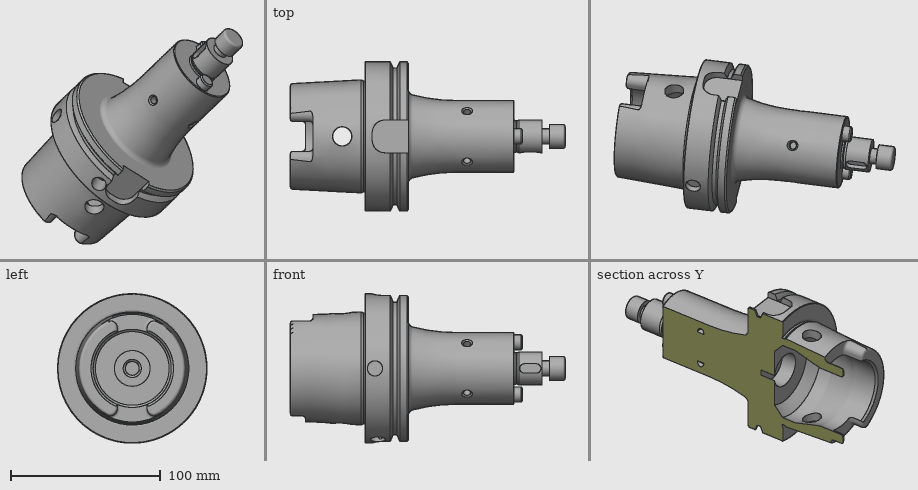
import cadquery as cq
import math


overshoot = 1.8

flange_start = 50.0
flange_end = 79.0
neck_blend_start = 82.0
neck_straight_start = 110.7
neck_end = 149.7
pilot_end = 168.5
screw_head_start = 173.2
overall_length = 183.9

shank_end_radius = 35.3
shank_root_radius = 37.9
undercut_start = 47.5
undercut_floor_start = 49.0
undercut_depth = 0.7
undercut_face_radius = 39.0
undercut_face_depth = 0.5

bore_mouth_chamfer = 1.5
bore_radius = 26.1
bore_cone_start = 19.0
bore_cone_end = 39.7
bore_chamber_radius = 31.5
bore_floor = 57.0
bore_floor_radius = 24.6
tube_seat_radius = 12.0
tube_seat_floor = 68.0
coolant_radius = 4.6
coolant_chamfer = 1.5

notch_half_width = 10.0
notch_lip_radius = 5.0
notch_lip_start = 26.8
notch_depth_top = 15.0
notch_depth_bottom = 10.1
notch_floor_fillet = 2.0
notch_edge_fillet = 1.8

cross_hole_x = 34.8
cross_hole_diameter = 12.7

flange_radius = 50.0
flange_edge_chamfer = 1.1
flange_face_chamfer = 0.4
groove_x = 70.0
groove_mouth_width = 6.5
groove_bevel_width = 4.0
groove_floor_width = 2.5
groove_bevel_radius = 47.6
groove_floor_radius = 45.8
keyway_width = 21.9
keyway_start = 54.8
keyway_corner_radius = 8.5
keyway_floor_radius = 44.0
chip_hole_x = 56.6
chip_hole_diameter = 10.1
chip_hole_depth = 4.6
chip_hole_angle = 180.0
slanted_hole_x = 58.7
slanted_hole_diameter = 10.0
slanted_hole_angle = 252.0
slanted_hole_depth = 14.7

neck_radius = 24.0
neck_blend_radius = 27.8
neck_root_radius = 30.7
neck_edge_chamfer = 0.5
neck_hole_x = 118.2
neck_hole_diameter = 5.0
neck_hole_countersink = 7.2
neck_hole_depth = 7.4
neck_hole_angles = (45, 135, 225, 315)

pilot_radius = 11.0
relief_depth = 0.5
relief_start = 150.8
relief_floor_end = 151.5
relief_end = 153.0
pocket_x = 160.5
pocket_length = 14.2
pocket_width = 6.3
pocket_depth = 3.7

pin_diameter = 10.3
pin_offsets = (17.5, -17.5)
pin_start = 134.2
pin_end = 155.2
pin_chamfer = 1.0

screw_shank_radius = 5.1
screw_start = 143.5
screw_head_radius = 8.0
screw_head_fillet = 1.7


def cylinder_x(radius, start, end, z=0.0):
    """Cylinder along X between two stations, at a height above the axis."""
    return cq.Workplane("YZ", origin=(start, 0, z)).circle(radius).extrude(end - start)


def revolve_x(profile):
    """Turn a closed outline in the XY plane about the X axis."""
    return profile.close().revolve(360, (0, 0, 0), (1, 0, 0))


def radial_direction(angle):
    """Unit vector square to X; the angle turns from +Y towards +Z."""
    return cq.Vector(0, math.cos(math.radians(angle)), math.sin(math.radians(angle)))


def radial_hole(x, diameter, surface_radius, depth, angle):
    """Cutter for a blind hole drilled towards the axis from a surface radius."""
    direction = radial_direction(angle)
    base = cq.Vector(x, 0, 0) + direction * (surface_radius - depth)
    return cq.Workplane(obj=cq.Solid.makeCylinder(diameter / 2, depth + overshoot, base, direction))


def half_turn(body):
    """The same body on the opposite side of the X axis."""
    return body.rotate((0, 0, 0), (1, 0, 0), 180)


def holder_blank():
    """Outer turned shape: shank, flange, blended neck and pilot."""
    undercut_radius = shank_root_radius - undercut_depth
    relief_radius = pilot_radius - relief_depth
    return revolve_x(
        cq.Workplane("XY")
        .moveTo(0, 0)
        .lineTo(pilot_end, 0)
        .lineTo(pilot_end, pilot_radius)
        .lineTo(relief_end, pilot_radius)
        .lineTo(relief_floor_end, relief_radius)
        .lineTo(relief_start, relief_radius)
        .lineTo(neck_end, pilot_radius)
        .lineTo(neck_end, neck_radius - neck_edge_chamfer)
        .lineTo(neck_end - neck_edge_chamfer, neck_radius)
        .lineTo(neck_straight_start, neck_radius)
        .tangentArcPoint((neck_blend_start, neck_blend_radius), relative=False)
        .tangentArcPoint((flange_end, neck_root_radius), relative=False)
        .lineTo(flange_end, flange_radius - flange_edge_chamfer)
        .lineTo(flange_end - flange_edge_chamfer, flange_radius)
        .lineTo(groove_x + groove_mouth_width / 2, flange_radius)
        .lineTo(groove_x + groove_bevel_width / 2, groove_bevel_radius)
        .lineTo(groove_x + groove_floor_width / 2, groove_floor_radius)
        .lineTo(groove_x - groove_floor_width / 2, groove_floor_radius)
        .lineTo(groove_x - groove_bevel_width / 2, groove_bevel_radius)
        .lineTo(groove_x - groove_mouth_width / 2, flange_radius)
        .lineTo(flange_start + flange_face_chamfer, flange_radius)
        .lineTo(flange_start, flange_radius - flange_face_chamfer)
        .lineTo(flange_start, undercut_face_radius)
        .lineTo(flange_start + undercut_face_depth, undercut_radius)
        .lineTo(undercut_floor_start, undercut_radius)
        .lineTo(undercut_start, shank_root_radius)
        .lineTo(0, shank_end_radius)
    )


def shank_bore():
    """Bore that widens into a chamber, with a coolant-tube seat and a passage to the screw."""
    return revolve_x(
        cq.Workplane("XY")
        .moveTo(0, 0)
        .lineTo(0, bore_radius + bore_mouth_chamfer)
        .lineTo(bore_mouth_chamfer, bore_radius)
        .lineTo(bore_cone_start, bore_radius)
        .lineTo(bore_cone_end, bore_chamber_radius)
        .lineTo(bore_floor - (bore_chamber_radius - bore_floor_radius), bore_chamber_radius)
        .lineTo(bore_floor, bore_floor_radius)
        .lineTo(bore_floor, tube_seat_radius)
        .lineTo(tube_seat_floor, tube_seat_radius)
        .lineTo(tube_seat_floor, coolant_radius + coolant_chamfer)
        .lineTo(tube_seat_floor + coolant_chamfer, coolant_radius)
        .lineTo(screw_start, coolant_radius)
        .lineTo(screw_start, 0)
    )


def drive_notch(depth):
    """Cutter for the top notch: parallel walls that flare out over rounded lips."""
    lip_y = notch_half_width + notch_lip_radius
    lip_z = notch_lip_start + notch_lip_radius
    arc_y = lip_y - notch_lip_radius * math.cos(math.radians(45))
    arc_z = notch_lip_start + notch_lip_radius * math.sin(math.radians(45))
    outer = flange_radius
    cutter = (
        cq.Workplane("YZ")
        .moveTo(-notch_half_width, 0)
        .lineTo(notch_half_width, 0)
        .lineTo(notch_half_width, notch_lip_start)
        .threePointArc((arc_y, arc_z), (lip_y, lip_z))
        .lineTo(outer, lip_z)
        .lineTo(outer, outer)
        .lineTo(-outer, outer)
        .lineTo(-outer, lip_z)
        .lineTo(-lip_y, lip_z)
        .threePointArc((-arc_y, arc_z), (-notch_half_width, notch_lip_start))
        .close()
        .extrude(depth)
    )
    floor_edges = cutter.faces(">X").edges("|Z exc (<Y or >Y)").add(cutter.faces(">X").edges("%CIRCLE"))
    return floor_edges.fillet(notch_floor_fillet)


def cross_hole():
    """Cutter for the vertical hole through both shank walls."""
    return (
        cq.Workplane("XY", origin=(cross_hole_x, 0, 0))
        .circle(cross_hole_diameter / 2)
        .extrude(flange_radius, both=True)
    )


def keyway():
    """Cutter for the top flange keyway, open towards the neck, with rounded inner corners."""
    length = flange_end - keyway_start
    return (
        cq.Workplane("XY", origin=(keyway_start + length / 2, 0, keyway_floor_radius))
        .rect(length, keyway_width)
        .extrude(flange_radius)
        .edges("|Z and <X")
        .fillet(keyway_corner_radius)
    )


def neck_hole(angle):
    """Cutter for a radial neck hole with a 90-degree countersink."""
    direction = radial_direction(angle)
    sink_depth = (neck_hole_countersink - neck_hole_diameter) / 2
    cone_base = cq.Vector(neck_hole_x, 0, 0) + direction * (neck_radius - sink_depth)
    cone = cq.Solid.makeCone(
        neck_hole_diameter / 2,
        neck_hole_countersink / 2 + sink_depth,
        2 * sink_depth,
        cone_base,
        direction,
    )
    drill = radial_hole(neck_hole_x, neck_hole_diameter, neck_radius, neck_hole_depth, angle)
    return drill.union(cq.Workplane(obj=cone))


def pilot_pocket():
    """Round-ended pocket in the -Y side of the pilot."""
    return (
        cq.Workplane("XZ", origin=(pocket_x, -(pilot_radius - pocket_depth), 0))
        .slot2D(pocket_length, pocket_width)
        .extrude(pilot_radius)
    )


def make_holder():
    holder = holder_blank()
    holder = holder.cut(drive_notch(notch_depth_top))
    holder = holder.cut(half_turn(drive_notch(notch_depth_bottom)))
    holder = holder.faces("<X").edges().fillet(notch_edge_fillet)
    holder = holder.cut(shank_bore())
    holder = holder.cut(cross_hole())

    holder = holder.cut(keyway())
    holder = holder.cut(half_turn(keyway()))
    holder = holder.cut(
        radial_hole(chip_hole_x, chip_hole_diameter, flange_radius, chip_hole_depth, chip_hole_angle)
    )
    holder = holder.cut(
        radial_hole(
            slanted_hole_x, slanted_hole_diameter, flange_radius, slanted_hole_depth, slanted_hole_angle
        )
    )

    for angle in neck_hole_angles:
        holder = holder.cut(neck_hole(angle))
    holder = holder.cut(pilot_pocket())
    holder = holder.cut(cylinder_x(screw_shank_radius, screw_start, pilot_end))
    for z in pin_offsets:
        holder = holder.cut(cylinder_x(pin_diameter / 2, pin_start, neck_end, z))
    return holder


def make_drive_pin(z):
    """Round pin that stands out of the neck end face."""
    pin = cylinder_x(pin_diameter / 2, pin_start, pin_end, z)
    return pin.faces(">X").chamfer(pin_chamfer)


def make_screw():
    """Clamping screw: plain shank seated in the pilot, and a round head."""
    shank = cylinder_x(screw_shank_radius, screw_start, screw_head_start)
    head = cylinder_x(screw_head_radius, screw_head_start, overall_length)
    head = head.faces(">X").edges().fillet(screw_head_fillet)
    return shank.union(head)


holder = make_holder()
drive_pins = [make_drive_pin(z) for z in pin_offsets]
screw = make_screw()

result = cq.Compound.makeCompound([holder.val(), *[pin.val() for pin in drive_pins], screw.val()])